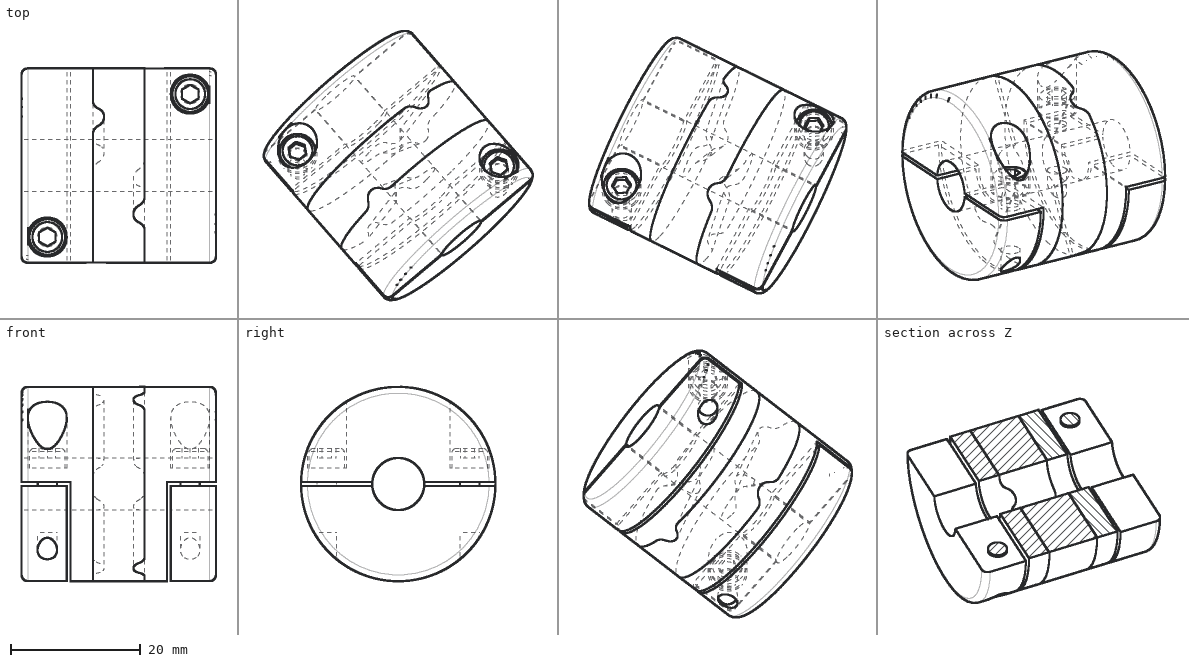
import cadquery as cq
import math


length = 30.0
outer_radius = 15.0
bore_radius = 8.0 / 2
spacer_length = 8.0
edge_round = 1.0

lobe_radius = 3.5 / 2
lobe_tilt = 30.0

clamp_slit = 0.6
back_slit = 0.5
cap_length = 7.02

screw_from_end = 4.0
screw_offset = 11.0
shank_radius = 1.5
shank_end_z = -7.5
head_radius = 5.5 / 2
head_height = 3.0
head_chamfer = 0.45
counterbore_radius = 3.0
counterbore_floor_z = 2.5
socket_flats = 2.5
socket_depth = 1.5

hub_length = (length - spacer_length) / 2
hub_end_x = -length / 2
hub_face_x = hub_end_x + hub_length
screw_x = hub_end_x + screw_from_end


def ring(start_x, ring_length):
    """Plain ring around the X axis with the coupling's outer diameter and bore."""
    return (
        cq.Workplane("YZ", origin=(start_x, 0, 0))
        .circle(outer_radius)
        .circle(bore_radius)
        .extrude(ring_length)
    )


def screw_cylinder(radius, start_z, end_z):
    """Cylinder on the screw axis between two heights."""
    return (
        cq.Workplane("XY", origin=(screw_x, -screw_offset, start_z))
        .circle(radius)
        .extrude(end_z - start_z)
    )


def make_lobe(tilt):
    """One radial lobe of the left hub, blended into the hub face by equal hollows."""
    angle = math.radians(tilt)
    plane = cq.Plane(
        origin=(hub_face_x, 0, 0),
        xDir=(1, 0, 0),
        normal=(0, math.sin(angle), math.cos(angle)),
    )
    half_width = lobe_radius * math.sqrt(3)
    join = (lobe_radius / 2, half_width / 2)
    hollow_middle = (
        lobe_radius * (1 - math.cos(math.pi / 6)),
        half_width - lobe_radius / 2,
    )
    bar = (
        cq.Workplane(plane)
        .moveTo(0, -half_width)
        .threePointArc((hollow_middle[0], -hollow_middle[1]), (join[0], -join[1]))
        .threePointArc((lobe_radius, 0), join)
        .threePointArc(hollow_middle, (0, half_width))
        .close()
        .extrude(2 * outer_radius)
    )
    return bar.intersect(ring(hub_face_x, spacer_length))


def make_lobes():
    """Upper and lower lobe of the left hub."""
    return make_lobe(lobe_tilt).union(make_lobe(180 - lobe_tilt))


def cut_slits(hub):
    """Cut the clamp slit and the slit behind the cap right across the hub."""
    clamp_cut = (
        cq.Workplane("XY", origin=(hub_end_x, 0, 0))
        .box(cap_length + back_slit, 2 * outer_radius, clamp_slit, centered=(False, True, True))
    )
    back_cut = (
        cq.Workplane("XY", origin=(hub_end_x + cap_length, 0, -outer_radius))
        .box(back_slit, 2 * outer_radius, outer_radius, centered=(False, True, False))
    )
    return hub.cut(clamp_cut).cut(back_cut)


def make_screw():
    """Socket head screw from its tip to its head."""
    head_top_z = counterbore_floor_z + head_height
    head = (
        screw_cylinder(head_radius, counterbore_floor_z, head_top_z)
        .faces(">Z")
        .edges()
        .chamfer(head_chamfer)
    )
    socket_diameter = socket_flats / math.cos(math.pi / 6)
    socket = (
        cq.Workplane("XY", origin=(screw_x, -screw_offset, head_top_z))
        .transformed(rotate=(0, 0, 90))
        .polygon(6, socket_diameter)
        .extrude(-socket_depth)
    )
    shank = screw_cylinder(shank_radius, shank_end_z, counterbore_floor_z)
    return head.cut(socket).union(shank)


def make_left_hub():
    """Clamp hub whose screw is part of the body and joins the cap to the rest."""
    body = ring(hub_end_x, hub_length)
    body = body.faces("<X").edges(cq.selectors.RadiusNthSelector(-1)).fillet(edge_round)
    body = cut_slits(body)
    body = body.cut(screw_cylinder(counterbore_radius, counterbore_floor_z, outer_radius))
    body = body.cut(screw_cylinder(shank_radius, -outer_radius, shank_end_z))
    return body.union(make_lobes()).union(make_screw())


def half_turn(body):
    """Turn a body half a turn about Z, from the left end to the right end."""
    return body.rotate((0, 0, 0), (0, 0, 1), 180)


def make_spacer():
    """Ring between the hubs, hollowed to fit the lobes of both."""
    lobes = make_lobes()
    return ring(hub_face_x, spacer_length).cut(lobes).cut(half_turn(lobes))


left_hub = make_left_hub().solids()
hubs = [left_hub.val(), half_turn(left_hub).val()]
spacer = make_spacer().solids()

result = cq.Compound.makeCompound([*hubs, spacer.val()])